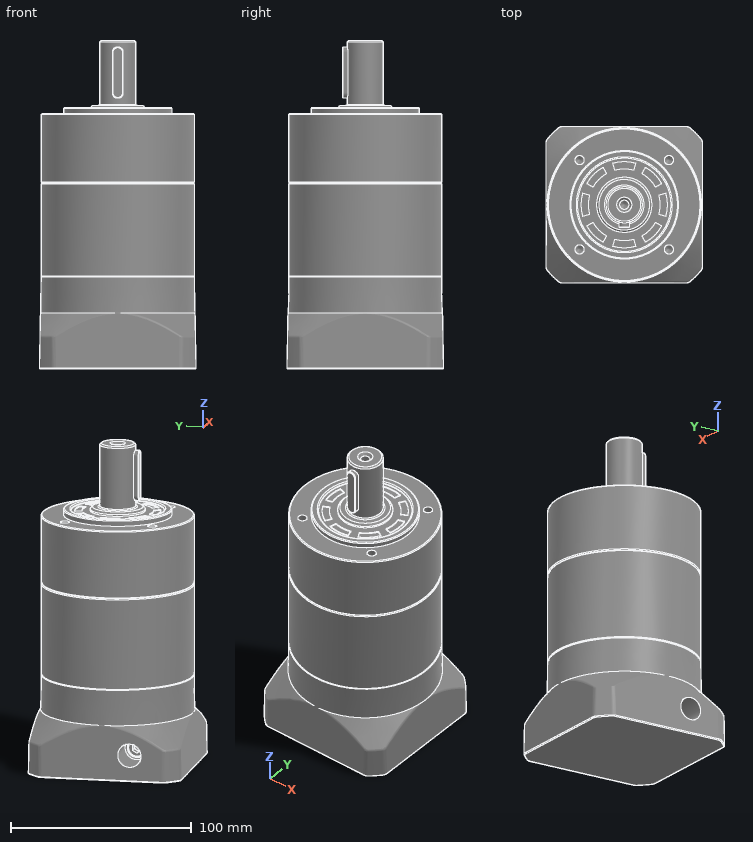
import cadquery as cq
import math

neck_z = 31.1
corner_top_z = 18.0
ring_bottom_z = 51.1
housing_bottom_z = 103.0
housing_top_z = 141.5
pilot_top_z = 144.9
cover_top_z = 143.8
collar_top_z = 146.0
shaft_top_z = 182.0

drill_point_angle = 118.0

body_r = 85.0 / 2
pilot_r = 30.0
cover_r = 25.8
collar_r = 15.3
shoulder_r = 11.0
shaft_r = 10.0

flange_side = 86.8
flange_half = flange_side / 2
flange_draft = 1.0
neck_r = 42.8
corner_r = 56.0
corner_fillet = 4.0
shoulder_fillet = 1.6
bottom_chamfer = 0.5
level_margin = 0.2

access_y = -15.7
access_z = 14.7
access_r = 6.5
access_depth = 20.0
screw_r = 5.5
screw_length = 9.1
screw_chamfer = 0.7
socket_flats = 5.1
socket_depth = 4.5

edge_chamfer = 0.5
seat_chamfer = 0.7
collar_chamfer = 1.3
bolt_circle_r = 35.0
bolt_hole_r = 2.5
bolt_hole_depth = 14.5
bolt_count = 4
cover_thickness = 5.5
cover_bottom_z = cover_top_z - cover_thickness
pocket_outer_r = 23.8
pocket_inner_r = 19.8
pocket_half_angle = 15.5
pocket_depth = 0.5
pocket_count = 8

shaft_chamfer = 1.0
shoulder_height = 0.5
centre_hole_r = 2.5
centre_hole_depth = 16.4
centre_sink_r = 4.2
centre_sink_angle = 90.0
key_width = 6.0
key_length = 28.4
key_centre_z = 164.2
key_top_y = -12.5
key_height = 6.0
key_chamfer = 0.4


def cylinder(radius, bottom, top):
    return cq.Workplane("XY").workplane(offset=bottom).circle(radius).extrude(top - bottom)


def access_point(depth):
    """Point on the access hole axis, at a depth below the -X side of the flange."""
    return (depth - flange_half, access_y, access_z)


def access_plane(depth):
    return cq.Workplane(cq.Plane(origin=access_point(depth), xDir=(0, 1, 0), normal=(1, 0, 0)))


def access_bore(radius, start_depth, length):
    """Cylinder along +X around the access hole axis."""
    return access_plane(start_depth).circle(radius).extrude(length)


def cone_height(large_r, small_r, angle):
    """Axial length of a cone with a given included angle between two radii."""
    return (large_r - small_r) / math.tan(math.radians(angle / 2))


def cone(large_r, small_r, angle, base, direction):
    """Cone that narrows from a base point along a direction."""
    height = cone_height(large_r, small_r, angle)
    solid = cq.Solid.makeCone(large_r, small_r, height, cq.Vector(*base), cq.Vector(*direction))
    return cq.Workplane(solid)


screw_depth = access_depth + cone_height(access_r, screw_r, drill_point_angle)


def drilled_hole(x, y, top, radius, depth):
    """Downward blind hole with a conical drill point."""
    hole = cylinder(radius, top - depth, top).translate((x, y, 0))
    return hole.union(cone(radius, 0, drill_point_angle, (x, y, top - depth), (0, 0, -1)))


def flange_block():
    """Drafted square block whose corners and shoulders are trimmed by a turned envelope."""
    block = cq.Workplane("XY").rect(flange_side, flange_side).extrude(ring_bottom_z, taper=flange_draft)
    corner_top_r = corner_r - corner_top_z * math.tan(math.radians(flange_draft))
    envelope = (
        cq.Workplane("XZ")
        .moveTo(0, 0)
        .lineTo(corner_r, 0)
        .lineTo(corner_top_r, corner_top_z)
        .lineTo(neck_r, neck_z)
        .lineTo(body_r, ring_bottom_z)
        .lineTo(0, ring_bottom_z)
        .close()
        .revolve(360, (0, 0, 0), (0, 1, 0))
    )
    return block.intersect(envelope)


def edges_between(bottom, top):
    """Selects the flange edges whose middle lies between two levels."""
    return cq.selectors.BoxSelector((-corner_r, -corner_r, bottom), (corner_r, corner_r, top))


def make_flange():
    half_height = corner_top_z / 2
    flange = flange_block()
    upright = edges_between(half_height - level_margin, half_height + level_margin)
    flange = flange.edges(upright).fillet(corner_fillet)
    rim = edges_between(half_height + level_margin, neck_z - level_margin)
    flange = flange.edges(rim).fillet(shoulder_fillet)
    flange = flange.faces("<Z").edges().chamfer(bottom_chamfer)
    bore = access_bore(access_r, 0, access_depth)
    bore_end = cone(access_r, screw_r, drill_point_angle, access_point(access_depth), (1, 0, 0))
    screw_seat = access_bore(screw_r, screw_depth, screw_length)
    return flange.cut(bore).cut(bore_end).cut(screw_seat)


def make_clamp_screw():
    screw = access_bore(screw_r, screw_depth, screw_length).faces("<X").edges().chamfer(screw_chamfer)
    socket_corners = socket_flats / math.cos(math.pi / 6)
    socket_plane = access_plane(screw_depth).transformed(rotate=(0, 0, 90))
    socket = socket_plane.polygon(6, socket_corners).extrude(socket_depth)
    socket_floor = access_point(screw_depth + socket_depth)
    socket_end = cone(socket_flats / 2, 0, drill_point_angle, socket_floor, (1, 0, 0))
    return screw.cut(socket).cut(socket_end)


def make_ring_gear_housing():
    ring = cylinder(body_r, ring_bottom_z, housing_bottom_z)
    return ring.edges().chamfer(edge_chamfer)


def make_output_housing():
    housing = cylinder(body_r, housing_bottom_z, housing_top_z).edges().chamfer(edge_chamfer)
    pilot = cylinder(pilot_r, housing_top_z, pilot_top_z).faces(">Z").edges().chamfer(edge_chamfer)
    housing = housing.union(pilot)
    housing = housing.cut(cylinder(cover_r, cover_bottom_z, pilot_top_z))
    seat_edge = cq.selectors.RadiusNthSelector(0)
    housing = housing.faces(">Z").edges(seat_edge).chamfer(seat_chamfer)
    housing = housing.cut(cylinder(shoulder_r, housing_bottom_z, pilot_top_z))
    for i in range(bolt_count):
        angle = math.radians((i + 0.5) * 360 / bolt_count)
        x = bolt_circle_r * math.cos(angle)
        y = bolt_circle_r * math.sin(angle)
        housing = housing.cut(drilled_hole(x, y, housing_top_z, bolt_hole_r, bolt_hole_depth))
    return housing


def pocket_cutter():
    """Ring sector on the +X side, cut into the top of the cover."""
    angle = math.radians(pocket_half_angle)
    along = math.cos(angle)
    across = math.sin(angle)
    return (
        cq.Workplane("XY")
        .workplane(offset=cover_top_z - pocket_depth)
        .moveTo(pocket_inner_r * along, -pocket_inner_r * across)
        .lineTo(pocket_outer_r * along, -pocket_outer_r * across)
        .threePointArc((pocket_outer_r, 0), (pocket_outer_r * along, pocket_outer_r * across))
        .lineTo(pocket_inner_r * along, pocket_inner_r * across)
        .threePointArc((pocket_inner_r, 0), (pocket_inner_r * along, -pocket_inner_r * across))
        .close()
        .extrude(pocket_depth)
    )


def make_cover():
    cover = cylinder(cover_r, cover_bottom_z, cover_top_z)
    cover = cover.cut(cylinder(collar_r, cover_bottom_z, cover_top_z))
    for i in range(pocket_count):
        cover = cover.cut(pocket_cutter().rotate((0, 0, 0), (0, 0, 1), i * 360 / pocket_count))
    return cover


def make_collar():
    collar = cylinder(collar_r, cover_bottom_z, collar_top_z).faces(">Z").edges().chamfer(collar_chamfer)
    return collar.cut(cylinder(shoulder_r, cover_bottom_z, collar_top_z))


def key_blank():
    plane = cq.Plane(origin=(0, key_top_y, key_centre_z), xDir=(1, 0, 0), normal=(0, -1, 0))
    return cq.Workplane(plane).slot2D(key_length, key_width, 90).extrude(-key_height)


def make_key():
    return key_blank().faces("<Y").edges().chamfer(key_chamfer)


def make_shaft():
    shaft = cylinder(shaft_r, housing_bottom_z, shaft_top_z).faces(">Z").edges().chamfer(shaft_chamfer)
    shoulder = cylinder(shoulder_r, housing_bottom_z, collar_top_z + shoulder_height)
    shoulder = shoulder.faces(">Z").edges().chamfer(shoulder_height, shoulder_r - shaft_r)
    shaft = shaft.union(shoulder)
    shaft = shaft.cut(drilled_hole(0, 0, shaft_top_z, centre_hole_r, centre_hole_depth))
    sink = cone(centre_sink_r, centre_hole_r, centre_sink_angle, (0, 0, shaft_top_z), (0, 0, -1))
    shaft = shaft.cut(sink)
    return shaft.cut(key_blank())


flange = make_flange()
clamp_screw = make_clamp_screw()
ring_gear_housing = make_ring_gear_housing()
output_housing = make_output_housing()
cover = make_cover()
collar = make_collar()
shaft = make_shaft()
key = make_key()

result = cq.Compound.makeCompound(
    [
        flange.val(),
        clamp_screw.val(),
        ring_gear_housing.val(),
        output_housing.val(),
        cover.val(),
        collar.val(),
        shaft.val(),
        key.val(),
    ]
)